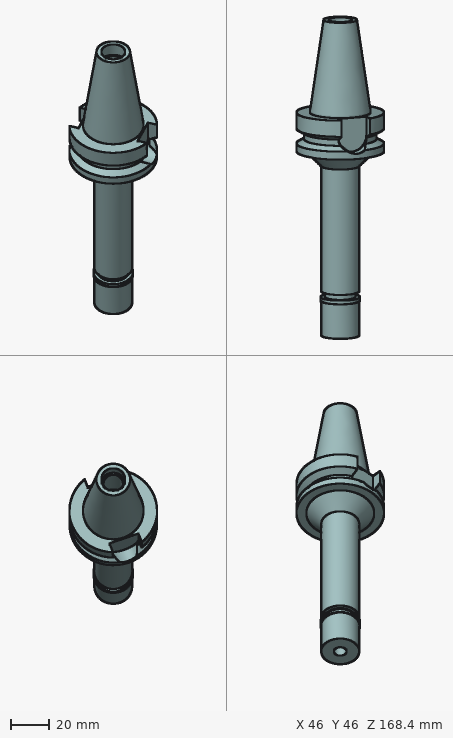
import cadquery as cq
import math


taper_length = 48.4
gauge_radius = 31.75 / 2
taper_ratio = 7 / 24
taper_tip_radius = gauge_radius - taper_length * taper_ratio / 2

flange_radius = 23.0
flange_top = -1.0
flange_bottom = -21.8
groove_radius = 19.0
groove_floor_top = -11.9
groove_floor_bottom = -15.2
groove_wall_angle = 60.0
groove_wall_height = (flange_radius - groove_radius) / math.tan(math.radians(groove_wall_angle))
groove_top = groove_floor_top + groove_wall_height
groove_bottom = groove_floor_bottom - groove_wall_height

slot_width = 16.1
slot_floor_x = 16.4
slot_depth = 18.0
slot_end_radius = slot_width / 2
slot_round_centre_z = flange_top - slot_depth + slot_end_radius

shank_radius = 10.0
cone_top_radius = 17.8
cone_bottom = flange_bottom - (cone_top_radius - shank_radius)
neck_radius = 8.0
neck_top = -96.5
neck_bottom = -99.5

nut_bottom = -120.0
nut_radius = 10.0
nut_rim_radius = 10.4
nut_rim_height = 2.0
nut_hole_radius = 3.3

mouth_radius = 12.5 / 2
mouth_depth = 7.0
thread_radius = 10.2 / 2
thread_bottom_depth = 30.0
coolant_radius = 3.8


def tool_holder():
    body = (
        cq.Workplane("XZ")
        .moveTo(0, taper_length)
        .lineTo(taper_tip_radius, taper_length)
        .lineTo(gauge_radius, 0)
        .lineTo(gauge_radius, flange_top)
        .lineTo(flange_radius, flange_top)
        .lineTo(flange_radius, groove_top)
        .lineTo(groove_radius, groove_floor_top)
        .lineTo(groove_radius, groove_floor_bottom)
        .lineTo(flange_radius, groove_bottom)
        .lineTo(flange_radius, flange_bottom)
        .lineTo(cone_top_radius, flange_bottom)
        .lineTo(shank_radius, cone_bottom)
        .lineTo(shank_radius, neck_top)
        .lineTo(neck_radius, neck_top)
        .lineTo(neck_radius, neck_bottom)
        .lineTo(0, neck_bottom)
        .close()
        .revolve(360, (0, 0), (0, 1))
    )
    for side in (-1, 1):
        body = body.cut(drive_slot(side))
    return body.cut(stepped_bore())


def drive_slot(side):
    """Slot cutter with a round lower end; side is -1 or +1 along X."""
    return (
        cq.Workplane("YZ", origin=(side * slot_floor_x, 0, 0))
        .moveTo(-slot_end_radius, flange_top)
        .lineTo(-slot_end_radius, slot_round_centre_z)
        .threePointArc((0, flange_top - slot_depth), (slot_end_radius, slot_round_centre_z))
        .lineTo(slot_end_radius, flange_top)
        .close()
        .extrude(side * flange_radius)
    )


def stepped_bore():
    """Drawbar mouth, thread hole and a narrower hole down to the nut."""
    mouth_bottom = taper_length - mouth_depth
    thread_bottom = taper_length - thread_bottom_depth
    return (
        cq.Workplane("XZ")
        .moveTo(0, taper_length)
        .lineTo(mouth_radius, taper_length)
        .lineTo(mouth_radius, mouth_bottom)
        .lineTo(thread_radius, mouth_bottom)
        .lineTo(thread_radius, thread_bottom)
        .lineTo(coolant_radius, thread_bottom)
        .lineTo(coolant_radius, neck_bottom)
        .lineTo(0, neck_bottom)
        .close()
        .revolve(360, (0, 0), (0, 1))
    )


def clamping_nut():
    """Plain nut with a slightly wider rim against the end of the holder's neck."""
    nut_height = neck_bottom - nut_bottom
    base = cq.Workplane("XY", origin=(0, 0, nut_bottom))
    sleeve = base.circle(nut_radius).extrude(nut_height)
    hole = base.circle(nut_hole_radius).extrude(nut_height)
    rim = (
        cq.Workplane("XY", origin=(0, 0, neck_bottom))
        .circle(nut_rim_radius)
        .extrude(-nut_rim_height)
    )
    return sleeve.union(rim).cut(hole)


holder = tool_holder()
nut = clamping_nut()
result = cq.Compound.makeCompound([holder.val(), nut.val()])